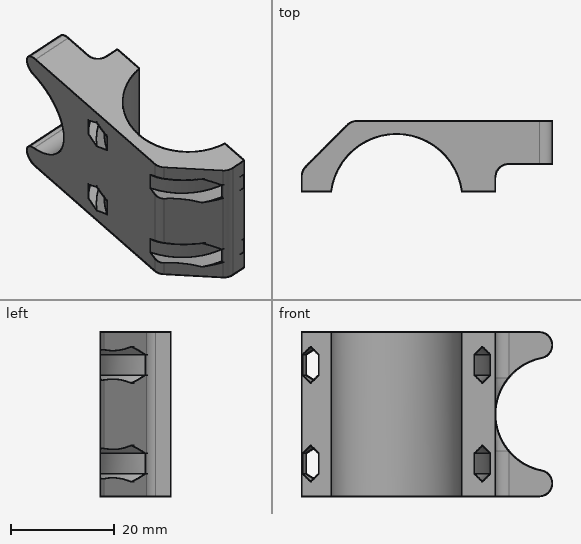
import cadquery as cq
import math

length = 48.37
depth = 13.65
height = 31.75
edge_radius = 2.54

bevel = 9.6

bore_radius = 12.7
bore_x = 18.3
bore_y = -1.6

step_x = 37.4
step_y = 5.3

tip_x = length - edge_radius
tip_z = height / 2 - edge_radius
bay_radius = ((tip_x - step_x) ** 2 + tip_z ** 2 - edge_radius ** 2) / (2 * (length - step_x))
bay_x = step_x + bay_radius

runout_z = math.sqrt(bay_radius ** 2 - (bay_radius - edge_radius) ** 2)
runout_stations = 6

channel_inner_radius = 15.05
channel_width = 3.05
channel_height = 7.0
channel_point = channel_width / 2
channel_z = 9.525


def clamp_body():
    """Extruded clamp section with the bevelled corner and the stepped arm side."""
    section = (
        cq.Workplane("XY")
        .polyline([
            (0, 0),
            (step_x, 0),
            (step_x, step_y),
            (length, step_y),
            (length, depth),
            (bevel, depth),
            (0, depth - bevel),
        ])
        .close()
    )
    body = section.extrude(height / 2, both=True)
    for corner in [(step_x, step_y), (bevel, depth), (0, depth - bevel)]:
        body = body.edges(cq.NearestToPointSelector((*corner, 0))).fillet(edge_radius)
    return body


def bore():
    """Cylinder that hollows out the clamping face."""
    return cq.Workplane("XY").center(bore_x, bore_y).circle(bore_radius).extrude(height / 2, both=True)


def arm_outline():
    """Outline in XZ, cut through the full depth: two round-tipped arms around the bay."""
    reach = bay_radius / (bay_radius + edge_radius)
    tangent_x = bay_x + (tip_x - bay_x) * reach
    tangent_z = tip_z * reach
    return (
        cq.Workplane("XZ")
        .moveTo(0, -height / 2)
        .lineTo(tip_x, -height / 2)
        .threePointArc((length, -tip_z), (tangent_x, -tangent_z))
        .threePointArc((step_x, 0), (tangent_x, tangent_z))
        .threePointArc((length, tip_z), (tip_x, height / 2))
        .lineTo(0, height / 2)
        .close()
        .extrude(-depth)
    )


def fillet_runout():
    """Cutter for the upper half of the bay, where the step's root fillet follows the bay edge.

    Each section keeps the fillet arc tangent to the step wall and shifts it along Y
    until it passes through the bay edge, so the fillet shrinks to nothing at mid-height.
    """
    cutter = cq.Workplane("XY")
    center_x = step_x + edge_radius
    diagonal = edge_radius * math.sqrt(0.5)
    previous_z = 0
    for station in range(runout_stations + 1):
        z = runout_z * station / runout_stations
        ledge = bay_radius - math.sqrt(bay_radius ** 2 - z ** 2)
        center_y = step_y - math.sqrt(max(ledge * (2 * edge_radius - ledge), 0))
        cutter = (
            cutter.workplane(offset=z - previous_z)
            .moveTo(step_x, 0)
            .lineTo(step_x, center_y)
            .threePointArc((center_x - diagonal, center_y + diagonal), (center_x, center_y + edge_radius))
            .lineTo(center_x, 0)
            .close()
        )
        previous_z = z
    return cutter.loft()


def tie_channel(center_z):
    """Ring, centred on the clamping face under the bore, with a hexagonal cross-section."""
    outer_radius = channel_inner_radius + channel_width
    middle_radius = channel_inner_radius + channel_width / 2
    half = channel_height / 2
    shoulder = half - channel_point
    return (
        cq.Workplane("XZ", origin=(bore_x, 0, center_z))
        .polyline([
            (channel_inner_radius, -shoulder),
            (middle_radius, -half),
            (outer_radius, -shoulder),
            (outer_radius, shoulder),
            (middle_radius, half),
            (channel_inner_radius, shoulder),
        ])
        .close()
        .revolve(360, (0, 0, 0), (0, 1, 0))
    )


result = clamp_body().intersect(arm_outline()).cut(bore())
runout = fillet_runout()
result = result.cut(runout).cut(runout.mirror("XY"))
for side in (-1, 1):
    result = result.cut(tie_channel(side * channel_z))